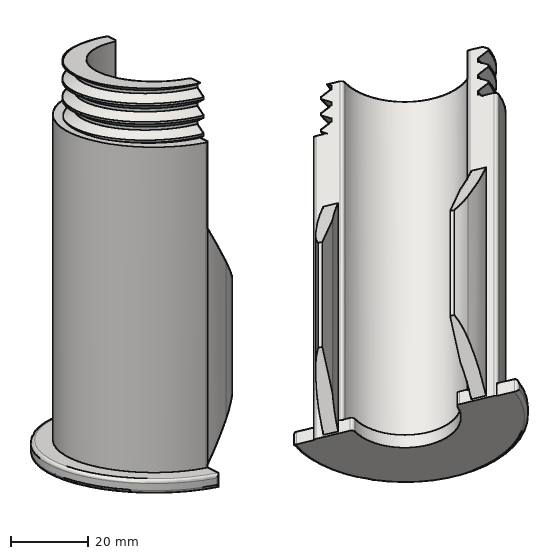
import cadquery as cq
import math

total_height = 108.0
flange_thickness = 3.9
neck_height = 15.0
shoulder_z = total_height - neck_height

flange_radius = 32.0
flange_setback = 0.3
body_radius = 26.2
bore_radius = 17.5
end_bore_radius = 14.6
edge_fillet = 1.0

threads_along_neck = 3
thread_pitch = neck_height / threads_along_neck
thread_major_radius = 23.8
thread_minor_radius = 20.7
thread_crest_width = thread_pitch / 8
thread_flank_angle = 30
thread_root_overlap = 0.3
thread_turns = 6
turns_below_top = 4.75

ear_outer_radius = 23.1
ear_inner_radius = 18.9
ear_inner_flat_x = 18.1
ear_height = 11.7
ear_round_start = 8.2
ear_tip_width = 1.2
ear_root_depth = 3.2
ear_base_bottom_z = 0.6
ear_base_top_z = 70.7
ear_tip_bottom_z = 19.7
ear_tip_top_z = 51.8


def half_ring(outer_radius, inner_radius, bottom_z, top_z):
    """Half ring on the -Y side of the split face."""
    return (
        cq.Workplane("XY", origin=(0, 0, bottom_z))
        .moveTo(-outer_radius, 0)
        .threePointArc((0, -outer_radius), (outer_radius, 0))
        .lineTo(inner_radius, 0)
        .threePointArc((0, -inner_radius), (-inner_radius, 0))
        .close()
        .extrude(top_z - bottom_z)
    )


def make_end_plate():
    """Plate that closes in the bore at the flanged end."""
    plate = half_ring(body_radius, end_bore_radius, 0, flange_thickness)
    return plate.edges("|Z").fillet(edge_fillet)


def make_flange():
    """Collar with a rounded rim and rounded ends, set back slightly from the split face."""
    disc = cq.Workplane("XY").circle(flange_radius).circle(bore_radius).extrude(flange_thickness)
    disc = disc.edges(cq.selectors.RadiusNthSelector(-1)).fillet(edge_fillet)
    half_width = math.sqrt(flange_radius**2 - flange_setback**2)
    half_disc = (
        cq.Workplane("XY")
        .moveTo(-half_width, -flange_setback)
        .threePointArc((0, -flange_radius), (half_width, -flange_setback))
        .close()
        .extrude(flange_thickness)
        .edges("|Z")
        .fillet(edge_fillet)
    )
    return disc.intersect(half_disc)


def make_body():
    """Plain half sleeve between the flange and the shoulder."""
    body = half_ring(body_radius, bore_radius, flange_thickness, shoulder_z)
    return body.edges("|Z").fillet(edge_fillet)


def make_neck():
    """Thread core, rounded only at the edges of the bore."""
    core = half_ring(thread_minor_radius, bore_radius, shoulder_z, total_height)
    bore_edges = cq.selectors.BoxSelector(
        (-bore_radius - edge_fillet, -edge_fillet, shoulder_z),
        (bore_radius + edge_fillet, edge_fillet, total_height),
    )
    return core.edges("|Z").edges(bore_edges).fillet(edge_fillet)


def make_thread():
    """Right-handed ridge whose crest meets the top face at the -Y side."""
    start_z = total_height - turns_below_top * thread_pitch
    root_radius = thread_minor_radius - thread_root_overlap
    flank_rise = (thread_major_radius - root_radius) * math.tan(math.radians(thread_flank_angle))
    crest_half = thread_crest_width / 2
    root_half = crest_half + flank_rise
    path = cq.Wire.makeHelix(
        thread_pitch, thread_turns * thread_pitch, thread_minor_radius, cq.Vector(0, 0, start_z)
    )
    ridge = (
        cq.Workplane("XZ", origin=(0, 0, start_z))
        .polyline([
            (root_radius, -root_half),
            (thread_major_radius, -crest_half),
            (thread_major_radius, crest_half),
            (root_radius, root_half),
        ])
        .close()
        .sweep(cq.Workplane(path), isFrenet=True)
    )
    return ridge.intersect(half_ring(flange_radius, bore_radius, shoulder_z, total_height))


def arc_point(radius, angle):
    return (radius * math.cos(angle), radius * math.sin(angle))


def make_ear():
    """Ear on the +X side: a curved wall trimmed to a trapezoid in the YZ plane."""
    outer_angle = math.asin(ear_round_start / ear_outer_radius)
    inner_angle = math.acos(ear_inner_flat_x / ear_inner_radius)
    wall = (
        cq.Workplane("XY")
        .moveTo(ear_outer_radius, -ear_root_depth)
        .lineTo(ear_outer_radius, 0)
        .threePointArc(arc_point(ear_outer_radius, outer_angle / 2), arc_point(ear_outer_radius, outer_angle))
        .tangentArcPoint((ear_inner_flat_x + ear_tip_width, ear_height), relative=False)
        .lineTo(ear_inner_flat_x, ear_height)
        .lineTo(*arc_point(ear_inner_radius, inner_angle))
        .threePointArc(arc_point(ear_inner_radius, inner_angle / 2), (ear_inner_radius, 0))
        .lineTo(ear_inner_radius, -ear_root_depth)
        .close()
        .extrude(total_height)
    )
    side_outline = (
        cq.Workplane("YZ")
        .polyline([
            (-ear_root_depth, ear_base_bottom_z),
            (0, ear_base_bottom_z),
            (ear_height, ear_tip_bottom_z),
            (ear_height, ear_tip_top_z),
            (0, ear_base_top_z),
            (-ear_root_depth, ear_base_top_z),
        ])
        .close()
        .extrude(flange_radius)
    )
    return wall.intersect(side_outline)


ear = make_ear()
result = (
    make_end_plate()
    .union(make_flange())
    .union(make_body())
    .union(make_neck())
    .union(make_thread())
    .union(ear)
    .union(ear.mirror("YZ"))
)